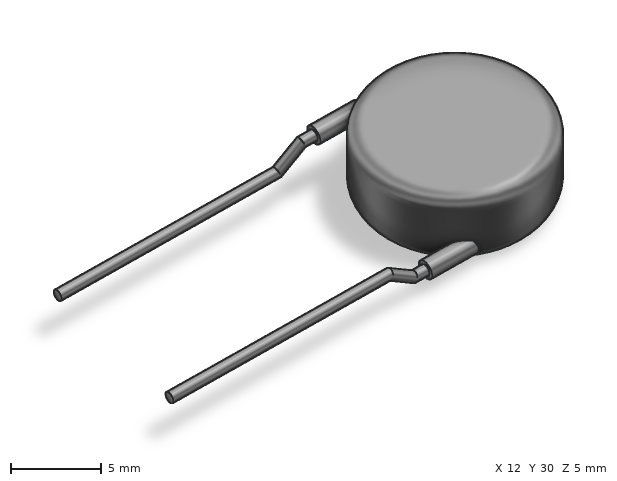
import cadquery as cq


disc_radius = 6.0
disc_thickness = 5.0
edge_radius = 1.0

lead_x = 5.0
sleeve_z = 1.3
sleeve_radius = 0.6
sleeve_bend_y = -2.97
sleeve_inner_run = 0.9
sleeve_end_y = -disc_radius

lead_radius = 0.35
overall_length = 30.0
first_bend_y = -6.87
second_bend_y = -8.58
lead_tip_y = disc_radius - overall_length

lead_sides = [(-1, 1), (1, -1)]


def facing_front(x, y, z):
    """Workplane at a point, with its normal along -Y."""
    return cq.Workplane("XZ", origin=(x, y, z))


def make_disc():
    """Round disc with both rims rounded."""
    bottom = cq.Workplane("XY", origin=(0, 0, -disc_thickness / 2))
    disc = bottom.circle(disc_radius).extrude(disc_thickness)
    return disc.edges("%CIRCLE").fillet(edge_radius)


def make_sleeve(side_x, side_z):
    """Coating sleeve around the root of a lead, with a mitred bend where it enters the disc."""
    x = side_x * lead_x
    z = side_z * sleeve_z
    path = cq.Workplane("XY", origin=(0, 0, z)).polyline([
        (x, sleeve_end_y),
        (x, sleeve_bend_y),
        (x - side_x * sleeve_inner_run, sleeve_bend_y + sleeve_inner_run),
    ])
    front = facing_front(x, sleeve_end_y, z)
    return front.circle(sleeve_radius).sweep(path, transition="right")


def make_coated_body():
    """Disc and both sleeves, all one coating."""
    body = make_disc()
    for side_x, side_z in lead_sides:
        body = body.union(make_sleeve(side_x, side_z))
    return body


def make_lead(side_x, side_z):
    """Round wire from the sleeve end, bent with mitred corners to mid-thickness, then straight."""
    x = side_x * lead_x
    root_z = side_z * sleeve_z
    path = cq.Workplane("YZ", origin=(x, 0, 0)).polyline([
        (sleeve_end_y, root_z),
        (first_bend_y, root_z),
        (second_bend_y, 0),
        (lead_tip_y, 0),
    ])
    root = facing_front(x, sleeve_end_y, root_z)
    return root.circle(lead_radius).sweep(path, transition="right")


coated_body = make_coated_body()
leads = [make_lead(side_x, side_z) for side_x, side_z in lead_sides]

result = cq.Compound.makeCompound([coated_body.solids().val(), *[lead.val() for lead in leads]])